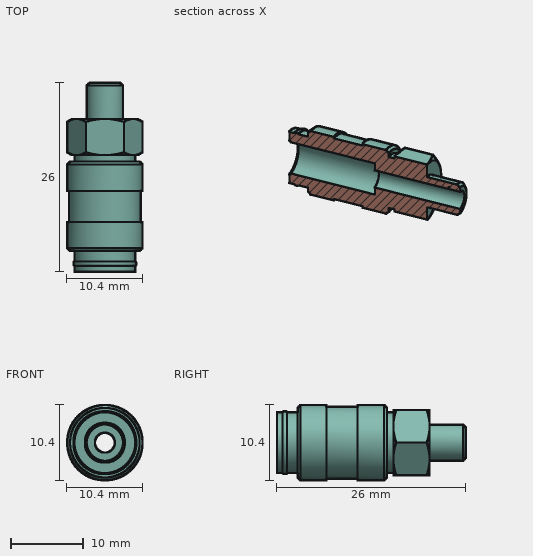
import cadquery as cq
import math

length = 26.0
front_y = -length / 2
back_y = length / 2

core_radius = 4.19
spigot_radius = 2.5
spigot_length = 5.0
spigot_chamfer = 0.42

hex_corner_diameter = 10.4
hex_length = 5.0
hex_chamfer_angle = 30.0

sleeve_radius = 5.2
sleeve_chamfer = 0.42
sleeve_start = 2.85
sleeve_length = 12.3
waist_radius = 4.97
waist_start = 3.95
waist_length = 4.32

ring_center = 1.12
ring_half_width = 0.3
ring_height = 0.15

socket_radius = 2.5
socket_chamfer = 0.25
socket_depth = 13.0
passage_radius = 1.35

hex_back_y = back_y - spigot_length
hex_front_y = hex_back_y - hex_length


def cylinder(radius, start_y, cylinder_length):
    """Cylinder on the Y axis running toward +Y from start_y."""
    plane = cq.Workplane("XZ", origin=(0, start_y, 0))
    return plane.circle(radius).extrude(-cylinder_length)


def revolve_profile(profile):
    """Revolve a closed (radius, y) profile about the Y axis."""
    return profile.close().revolve(360, (0, 0, 0), (0, 1, 0))


def make_hexagon():
    corner_radius = hex_corner_diameter / 2
    flat_radius = corner_radius * math.cos(math.radians(30))
    chamfer_drop = (corner_radius - flat_radius) * math.tan(math.radians(hex_chamfer_angle))
    plane = cq.Workplane("XZ", origin=(0, hex_front_y, 0))
    prism = plane.polygon(6, hex_corner_diameter).extrude(-hex_length)
    envelope = revolve_profile(
        cq.Workplane("XY")
        .moveTo(0, hex_front_y)
        .lineTo(flat_radius, hex_front_y)
        .lineTo(corner_radius, hex_front_y + chamfer_drop)
        .lineTo(corner_radius, hex_back_y - chamfer_drop)
        .lineTo(flat_radius, hex_back_y)
        .lineTo(0, hex_back_y)
    )
    return prism.intersect(envelope)


def make_sleeve():
    start_y = front_y + sleeve_start
    sleeve = cylinder(sleeve_radius, start_y, sleeve_length).edges("%CIRCLE").chamfer(sleeve_chamfer)
    waist_y = start_y + waist_start
    waist_cut = cylinder(sleeve_radius, waist_y, waist_length).cut(
        cylinder(waist_radius, waist_y, waist_length)
    )
    return sleeve.cut(waist_cut)


def make_ring():
    center_y = front_y + ring_center
    return revolve_profile(
        cq.Workplane("XY")
        .moveTo(0, center_y - ring_half_width)
        .lineTo(core_radius, center_y - ring_half_width)
        .threePointArc(
            (core_radius + ring_height, center_y),
            (core_radius, center_y + ring_half_width),
        )
        .lineTo(0, center_y + ring_half_width)
    )


core = cylinder(core_radius, front_y, hex_front_y - front_y)
spigot = cylinder(spigot_radius, hex_back_y, spigot_length).faces(">Y").chamfer(spigot_chamfer)
body = core.union(make_ring()).union(make_sleeve()).union(make_hexagon()).union(spigot)

socket = cylinder(socket_radius, front_y, socket_depth)
passage = cylinder(passage_radius, front_y, length)
result = body.cut(socket).cut(passage)

mouth = cq.selectors.RadiusNthSelector(0)
result = result.faces("<Y").edges(mouth).chamfer(socket_chamfer)